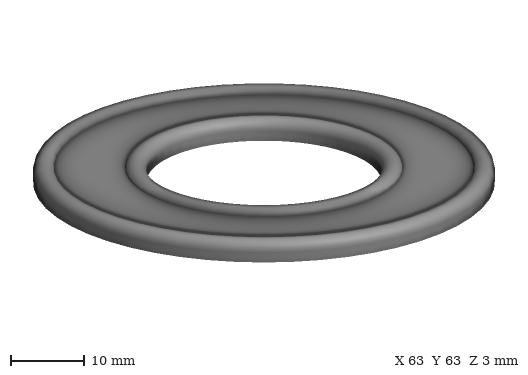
import cadquery as cq

outer_diameter = 63.0
bore_diameter = 32.0
full_height = 3.0
rim_width = 3.0
floor_thickness = 2.0

crown_radius = rim_width / 2
wall_height = full_height - crown_radius
outer_radius = outer_diameter / 2
bore_radius = bore_diameter / 2


def ring(inner_radius, ring_outer_radius, height):
    """Flat ring standing on the base plane."""
    return cq.Workplane("XY").circle(ring_outer_radius).circle(inner_radius).extrude(height)


def round_rim(inner_radius):
    """Ring with straight walls and a half-round top, revolved about Z."""
    rim_outer_radius = inner_radius + rim_width
    crown_top = (inner_radius + crown_radius, full_height)
    return (
        cq.Workplane("XZ")
        .moveTo(inner_radius, 0)
        .lineTo(rim_outer_radius, 0)
        .lineTo(rim_outer_radius, wall_height)
        .threePointArc(crown_top, (inner_radius, wall_height))
        .close()
        .revolve(360, (0, 0, 0), (0, 1, 0))
    )


floor = ring(bore_radius + crown_radius, outer_radius - crown_radius, floor_thickness)
inner_rim = round_rim(bore_radius)
outer_rim = round_rim(outer_radius - rim_width)

result = floor.union(inner_rim).union(outer_rim)